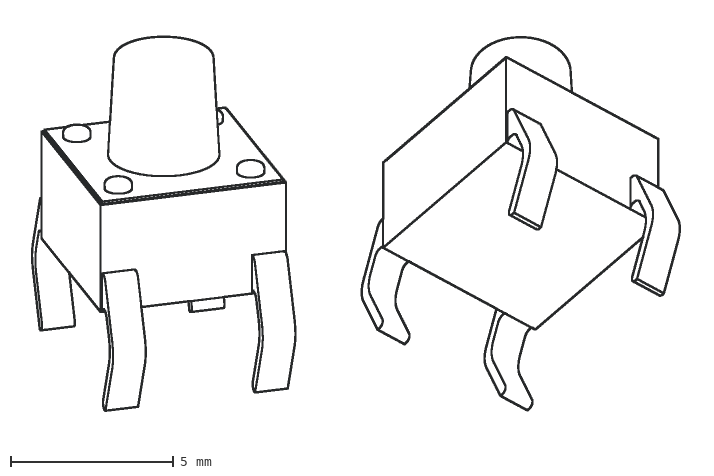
import cadquery as cq
import math

BODY_LENGTH = 6.11
BODY_WIDTH = 5.99
BODY_BOTTOM = 3.18
BODY_TOP = 6.84
COVER_HEIGHT = 0.08
COVER_INSET = 0.07

TOTAL_HEIGHT = 10.18
BUTTON_BASE_RADIUS = 1.72
BUTTON_TOP_RADIUS = 1.54
BUTTON_FILLET = 0.13

RIVET_DIAMETER = 0.85
RIVET_HEIGHT = 0.27
RIVET_FILLET = 0.13
RIVET_PITCH = 4.28

LEG_SPAN = 8.37
LEG_WIDTH = 1.06
LEG_OUTER_SPREAD = 5.89
LEG_THICKNESS = 0.33
LEG_ANGLE = 22.5
LEG_TOP = 4.47
LEG_BEND_HEIGHT = 2.15
LEG_BEND_RADIUS = 1.15
LEG_SHOULDER_RADIUS = 0.25
LEG_TIP_RADIUS = 0.18
ARCH_RADIUS = 0.24
ARCH_ROOT_RADIUS = 0.15


def corner_arc(before, corner, after, radius):
    """Return start, middle and end of the arc that rounds one corner."""
    to_before = (cq.Vector(*before) - cq.Vector(*corner)).normalized()
    to_after = (cq.Vector(*after) - cq.Vector(*corner)).normalized()
    half_angle = to_before.getAngle(to_after) / 2
    setback = radius / math.tan(half_angle)
    bisector = (to_before + to_after).normalized()
    middle_distance = radius / math.sin(half_angle) - radius
    offsets = (to_before * setback, bisector * middle_distance, to_after * setback)
    return [(corner[0] + offset.x, corner[1] + offset.y) for offset in offsets]


def rounded_outline(plane, corners):
    """Close an outline of ((x, z), radius) corners; the first corner is sharp."""
    points = [point for point, _ in corners]
    outline = cq.Workplane(plane).moveTo(*points[0])
    for index in range(1, len(corners)):
        point, radius = corners[index]
        if radius == 0:
            outline = outline.lineTo(*point)
            continue
        following = points[(index + 1) % len(points)]
        start, middle, end = corner_arc(points[index - 1], point, following, radius)
        outline = outline.lineTo(*start).threePointArc(middle, end)
    return outline.close()


def make_body():
    """Rectangular housing with a slightly smaller raised cover on top."""
    housing = cq.Workplane("XY", origin=(0, 0, BODY_BOTTOM))
    housing = housing.rect(BODY_LENGTH, BODY_WIDTH)
    housing = housing.extrude(BODY_TOP - COVER_HEIGHT - BODY_BOTTOM)
    cover = housing.faces(">Z").workplane()
    cover = cover.rect(BODY_LENGTH - 2 * COVER_INSET, BODY_WIDTH - 2 * COVER_INSET)
    return cover.extrude(COVER_HEIGHT)


def make_button():
    base = cq.Workplane("XY", origin=(0, 0, BODY_TOP)).circle(BUTTON_BASE_RADIUS)
    top = base.workplane(offset=TOTAL_HEIGHT - BODY_TOP).circle(BUTTON_TOP_RADIUS)
    return top.loft(ruled=True).faces(">Z").edges().fillet(BUTTON_FILLET)


def make_rivets():
    rivets = cq.Workplane("XY", origin=(0, 0, BODY_TOP))
    rivets = rivets.rarray(RIVET_PITCH, RIVET_PITCH, 2, 2)
    rivets = rivets.circle(RIVET_DIAMETER / 2).extrude(RIVET_HEIGHT)
    return rivets.faces(">Z").edges().fillet(RIVET_FILLET)


def make_leg():
    """Leg on the +X, +Y corner, standing on Z = 0."""
    angle = math.radians(LEG_ANGLE)
    root = BODY_LENGTH / 2
    arch_top = BODY_BOTTOM + ARCH_ROOT_RADIUS
    outer_kink = LEG_SPAN / 2 + LEG_BEND_RADIUS * (1 / math.cos(angle) - 1)
    inner_kink = outer_kink - LEG_THICKNESS / math.cos(angle)

    def leg_point(kink, z):
        return (kink - abs(z - LEG_BEND_HEIGHT) * math.tan(angle), z)

    corners = [
        ((root, BODY_BOTTOM), 0),
        ((root, LEG_TOP), 0),
        (leg_point(outer_kink, LEG_TOP), LEG_SHOULDER_RADIUS),
        (leg_point(outer_kink, LEG_BEND_HEIGHT), LEG_BEND_RADIUS),
        (leg_point(outer_kink, 0), 0),
        (leg_point(inner_kink, 0), LEG_TIP_RADIUS),
        (leg_point(inner_kink, LEG_BEND_HEIGHT), LEG_BEND_RADIUS),
        (leg_point(inner_kink, arch_top), ARCH_RADIUS),
        ((root, arch_top), ARCH_ROOT_RADIUS),
    ]
    leg = rounded_outline("XZ", corners).extrude(LEG_WIDTH)
    return leg.translate((0, LEG_OUTER_SPREAD / 2, 0))


result = make_body().union(make_button()).union(make_rivets())
leg = make_leg()
leg_pair = leg.union(leg.mirror("YZ"))
result = result.union(leg_pair).union(leg_pair.mirror("XZ"))